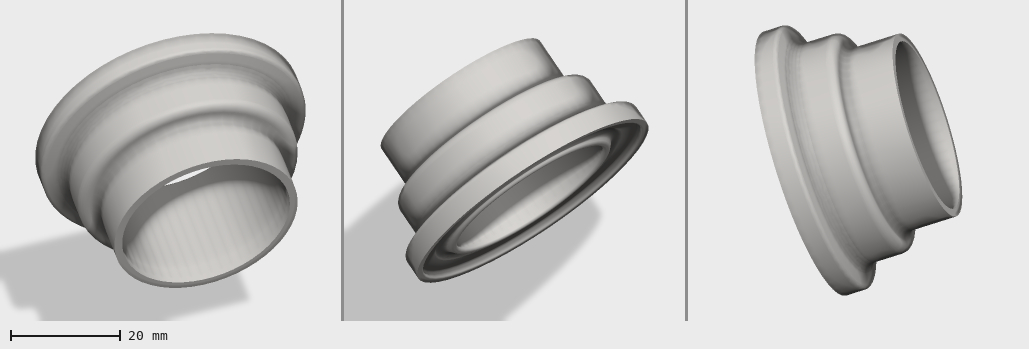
import cadquery as cq
import math

length = 24.0
flange_radius = 25.25
barrel_radius = 42.0 / 2
stub_radius = 35.0 / 2
bore_radius = 32.0 / 2

cone_angle = math.radians(17)
cone_start = 4.2
shoulder = 14.0
rim_round = 0.85
neck_round = 2.0
shoulder_round = 1.65
stub_root_round = 1.5

recess_radius = 47.7 / 2
recess_depth = 1.5
recess_edge_round = 0.3
recess_floor_round = 0.35

lip_front = 0.5
lip_slope = math.radians(60)
lip_outer_round = 0.8
lip_inner_round = 0.5
groove_round = 1.9
groove_edge_round = 0.4


def revolve_about_x(profile):
    """Turn a closed (X, radius) profile about the X axis."""
    return profile.close().revolve(360, (0, 0, 0), (1, 0, 0))


def round_circle(body, x, radius, size):
    """Round the circular edge of the given radius lying at x."""
    reach = 0.005
    low = (x - reach, -radius - reach, -radius - reach)
    high = (x + reach, radius + reach, radius + reach)
    in_box = cq.selectors.BoxSelector(low, high, boundingbox=True)
    largest = cq.selectors.RadiusNthSelector(-1)
    return body.edges(in_box).edges(largest).fillet(size)


def make_body():
    cone_end = cone_start + (flange_radius - barrel_radius) * math.tan(cone_angle)
    body = revolve_about_x(
        cq.Workplane("XY")
        .moveTo(0, bore_radius)
        .lineTo(0, flange_radius)
        .lineTo(cone_start, flange_radius)
        .lineTo(cone_end, barrel_radius)
        .lineTo(shoulder, barrel_radius)
        .lineTo(shoulder, stub_radius)
        .lineTo(length, stub_radius)
        .lineTo(length, bore_radius)
    )
    body = round_circle(body, cone_start, flange_radius, rim_round)
    body = round_circle(body, cone_end, barrel_radius, neck_round)
    body = round_circle(body, shoulder, barrel_radius, shoulder_round)
    return round_circle(body, shoulder, stub_radius, stub_root_round)


def cut_recess(body):
    """Cut the recess, the groove and the outer side of the lip in one turn."""
    lip_top_radius = stub_radius - lip_outer_round * math.sin(lip_slope)
    lip_center_x = lip_front + lip_outer_round
    lip_middle = (
        lip_center_x - lip_outer_round * math.cos(lip_slope / 2),
        lip_top_radius + lip_outer_round * math.sin(lip_slope / 2),
    )
    blend_x = lip_center_x - lip_outer_round * math.cos(lip_slope)

    groove_center_x = blend_x - groove_round * math.cos(lip_slope)
    groove_center_radius = stub_radius + groove_round * math.sin(lip_slope)
    groove_bottom = (groove_center_x + groove_round, groove_center_radius)
    floor_offset = recess_depth - groove_center_x
    edge_radius = groove_center_radius + math.sqrt(groove_round**2 - floor_offset**2)

    recess = revolve_about_x(
        cq.Workplane("XY")
        .lineTo(lip_front, 0)
        .lineTo(lip_front, lip_top_radius)
        .threePointArc(lip_middle, (blend_x, stub_radius))
        .threePointArc(groove_bottom, (recess_depth, edge_radius))
        .lineTo(recess_depth, recess_radius)
        .lineTo(0, recess_radius)
    )
    body = body.cut(recess)
    body = round_circle(body, 0, recess_radius, recess_edge_round)
    body = round_circle(body, recess_depth, recess_radius, recess_floor_round)
    body = round_circle(body, recess_depth, edge_radius, groove_edge_round)
    return round_circle(body, lip_front, bore_radius, lip_inner_round)


result = cut_recess(make_body())